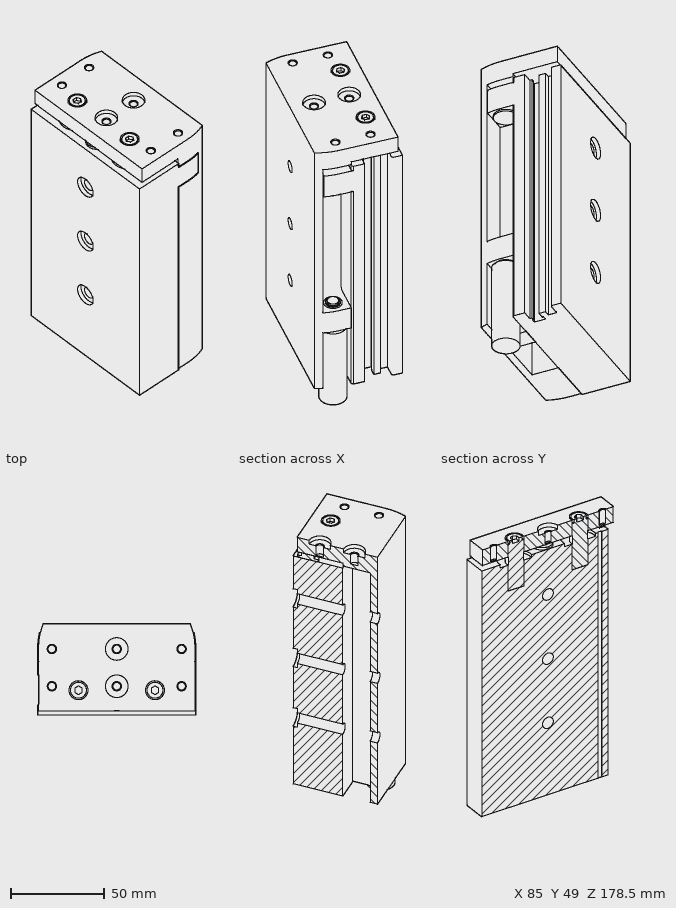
import cadquery as cq
import math


housing_width = 85.0
housing_depth = 29.0
housing_height = 153.3
back_edge_chamfer = 0.9
mounting_lip_round = 1.2
half_housing = housing_width / 2

mounting_lip_end = 6.0
rib_start = 11.0
rib_end = 15.0
sensor_slot_end = 20.2
groove_end = 21.6
rib_inset = 4.0
lower_groove_inset = 7.3
groove_inset = 6.2
slot_mouth_inset = 8.0
slot_floor_inset = 10.4
slot_undercut = 0.7

table_width = 83.9
table_back = 49.0
table_inner_face = 44.8
table_bottom = 0.4
table_top = 166.4
side_arc_radius = 35.0
side_arc_start = 36.2
end_plate_thickness = 10.0
end_plate_front = 2.3
lip_bottom = table_top - 12.0
half_table = table_width / 2
end_plate_bottom = table_top - end_plate_thickness

pocket_wall_x = -25.3
recess_corner_radius = 1.8
channel_half_width = 14.0
carrier_top = 53.5
carrier_bottom = 39.5

stop_top = 150.3
stop_bottom = 135.7
stop_back = 44.3
stop_inner_x = 25.9
stop_pad_diameter = 13.5
stop_pad_height = 1.0

absorber_diameter = 15.4
absorber_x = -34.5
absorber_y = 36.8
absorber_bottom = table_top - 178.5
absorber_chamfer = 1.6
absorber_neck_diameter = 10.0
absorber_collar_diameter = 8.0
absorber_collar_height = 0.5
absorber_tip_diameter = 6.5
absorber_tip_height = 1.6

rod_diameter = 10.2
rod_x = 20.5
rod_y = 13.4
rod_insertion = 17.8
rod_end_diameter = 8.5
rod_end_length = 2.1
rod_recess_diameter = 20.0
rod_recess_depth = 1.8
hex_corner_diameter = 4.6
hex_depth = 2.1

bumper_y = 8.5
bumper_rim_diameter = 12.1
bumper_rim_height = 1.5
bumper_neck_diameter = 7.5

dowel_diameter = 12.1
dowel_depth = 2.5
through_hole_diameter = 6.6
mounting_hole_top = 125.0
mounting_hole_pitch = 40.0
mounting_hole_heights = [mounting_hole_top - i * mounting_hole_pitch for i in range(3)]

thread_diameter = 4.1
thread_countersink = 5.0
thread_x = 34.8
thread_front_y = 15.5
thread_row_pitch = 20.0
thread_depth = 9.0
thread_rows = [thread_front_y, thread_front_y + thread_row_pitch]


def box(x_range, y_range, z_range):
    """Box between the given pairs of limits."""
    size = [high - low for low, high in (x_range, y_range, z_range)]
    corner = (x_range[0], y_range[0], z_range[0])
    return cq.Workplane("XY").box(*size, centered=False).translate(corner)


def cylinder(x, y, z_range, diameter):
    """Upright cylinder between two heights."""
    height = z_range[1] - z_range[0]
    return cq.Workplane("XY", origin=(x, y, z_range[0])).circle(diameter / 2).extrude(height)


def side_arc_inset(y):
    """How far a rounded side has drawn in at depth y, measured from its flat part."""
    return side_arc_radius - math.sqrt(side_arc_radius**2 - (y - side_arc_start) ** 2)


def housing_profile():
    """Cross-section of the housing, with the grooves in its -X side."""
    side = -half_housing
    return (
        cq.Workplane("XY")
        .moveTo(side, 0)
        .lineTo(half_housing, 0)
        .lineTo(half_housing, housing_depth)
        .lineTo(side, housing_depth)
        .lineTo(side, groove_end)
        .lineTo(side + groove_inset, groove_end)
        .lineTo(side + groove_inset, sensor_slot_end)
        .lineTo(side + slot_mouth_inset, sensor_slot_end)
        .lineTo(side + slot_mouth_inset, sensor_slot_end + slot_undercut)
        .lineTo(side + slot_floor_inset, sensor_slot_end + slot_undercut)
        .lineTo(side + slot_floor_inset, rib_end - slot_undercut)
        .lineTo(side + slot_mouth_inset, rib_end - slot_undercut)
        .lineTo(side + slot_mouth_inset, rib_end)
        .lineTo(side + rib_inset, rib_end)
        .lineTo(side + rib_inset, rib_start)
        .lineTo(side + lower_groove_inset, rib_start)
        .lineTo(side + lower_groove_inset, mounting_lip_end)
        .lineTo(side + mounting_lip_round, mounting_lip_end)
        .radiusArc((side, mounting_lip_end - mounting_lip_round), -mounting_lip_round)
        .close()
    )


def stop_block():
    """Block on the -X side of the housing, rounded like the side of the table."""
    side = -half_housing
    middle_y = (side_arc_start + stop_back) / 2
    return (
        cq.Workplane("XY", origin=(0, 0, stop_bottom))
        .moveTo(-stop_inner_x, housing_depth - back_edge_chamfer)
        .lineTo(side, housing_depth - back_edge_chamfer)
        .lineTo(side, side_arc_start)
        .threePointArc(
            (side + side_arc_inset(middle_y), middle_y),
            (side + side_arc_inset(stop_back), stop_back),
        )
        .lineTo(-stop_inner_x, stop_back)
        .close()
        .extrude(stop_top - stop_bottom)
    )


def mounting_bores():
    """Through holes along Y in the middle of the housing and the table."""
    bores = cq.Workplane("XZ")
    for z in mounting_hole_heights:
        bores = bores.moveTo(0, z).circle(through_hole_diameter / 2)
    return bores.extrude(-table_back)


def make_housing():
    body = housing_profile().extrude(housing_height)
    body = body.edges("|Z and >Y and <X").chamfer(back_edge_chamfer)

    block = stop_block()
    pad = cylinder(absorber_x, absorber_y, (stop_bottom - stop_pad_height, stop_bottom), stop_pad_diameter)
    body = body.union(block).union(pad).union(block.mirror("YZ"))

    for x in (-rod_x, rod_x):
        rod_range = (housing_height - rod_insertion, housing_height)
        recess_range = (housing_height - rod_recess_depth, housing_height)
        body = body.cut(cylinder(x, rod_y, rod_range, rod_diameter))
        body = body.cut(cylinder(x, rod_y, recess_range, rod_recess_diameter))

    dowel_recesses = cq.Workplane("XZ")
    for z in mounting_hole_heights:
        dowel_recesses = dowel_recesses.moveTo(0, z).circle(dowel_diameter / 2)
    return body.cut(mounting_bores()).cut(dowel_recesses.extrude(-dowel_depth))


def table_profile():
    """Cross-section of the table: flat sides that curve in towards the back."""
    middle_y = (side_arc_start + table_back) / 2
    middle_x = half_table - side_arc_inset(middle_y)
    back_x = half_table - side_arc_inset(table_back)
    return (
        cq.Workplane("XY", origin=(0, 0, table_bottom))
        .moveTo(-half_table, housing_depth)
        .lineTo(half_table, housing_depth)
        .lineTo(half_table, side_arc_start)
        .threePointArc((middle_x, middle_y), (back_x, table_back))
        .lineTo(-back_x, table_back)
        .threePointArc((-middle_x, middle_y), (-half_table, side_arc_start))
        .close()
    )


def recess(x_range, z_range, rounded_edges):
    """Recess in the front of the table, with the chosen corners rounded."""
    shape = box(x_range, (housing_depth, table_inner_face), z_range)
    return shape.edges(rounded_edges).fillet(recess_corner_radius)


def threaded_hole(x, y, top):
    """Cutter for a blind hole with a countersunk mouth, all ending at one depth in the end plate."""
    countersink = (thread_countersink - thread_diameter) / 2
    hole = cylinder(x, y, (table_top - thread_depth, top), thread_diameter)
    mouth = cq.Solid.makeCone(
        thread_diameter / 2, thread_countersink / 2, countersink, cq.Vector(x, y, top - countersink)
    )
    return hole.union(cq.Workplane(mouth))


def make_table():
    body = table_profile().extrude(table_top - table_bottom)
    body = body.union(
        box((-half_table, half_table), (end_plate_front, housing_depth), (end_plate_bottom, table_top))
    )

    side_range = (-housing_width, pocket_wall_x)
    body = body.cut(recess(side_range, (carrier_top, lip_bottom), "|Y and >X"))
    body = body.cut(recess(side_range, (-carrier_bottom, carrier_bottom), "|Y and >X and >Z"))
    channel_range = (-channel_half_width, channel_half_width)
    body = body.cut(recess(channel_range, (-lip_bottom, lip_bottom), "|Y and >Z"))

    body = body.cut(
        box((stop_inner_x, half_housing), (housing_depth, stop_back), (stop_bottom, stop_top))
    )

    body = body.cut(
        cylinder(absorber_x, absorber_y, (carrier_bottom, carrier_top), absorber_neck_diameter)
    )
    for x in (-rod_x, rod_x):
        body = body.cut(cylinder(x, rod_y, (end_plate_bottom, table_top), rod_diameter))

    for y in thread_rows:
        for x in (-thread_x, thread_x):
            body = body.cut(threaded_hole(x, y, table_top))
        dowel_floor = table_top - dowel_depth
        body = body.cut(cylinder(0, y, (dowel_floor, table_top), dowel_diameter))
        body = body.cut(threaded_hole(0, y, dowel_floor))
    return body.cut(mounting_bores())


def make_absorber():
    collar_top = carrier_top + absorber_collar_height
    tip_top = carrier_top + absorber_tip_height
    barrel = cylinder(absorber_x, absorber_y, (absorber_bottom, carrier_bottom), absorber_diameter)
    barrel = barrel.faces(">Z").chamfer(absorber_chamfer)
    neck = cylinder(absorber_x, absorber_y, (carrier_bottom, carrier_top), absorber_neck_diameter)
    collar = cylinder(absorber_x, absorber_y, (carrier_top, collar_top), absorber_collar_diameter)
    tip = cylinder(absorber_x, absorber_y, (collar_top, tip_top), absorber_tip_diameter)
    return barrel.union(neck).union(collar).union(tip)


def make_rod(x):
    """Piston rod with a hexagon socket in its thinner end, flush with the end plate."""
    shoulder = table_top - rod_end_length
    rod = cylinder(x, rod_y, (housing_height - rod_insertion, shoulder), rod_diameter)
    rod = rod.union(cylinder(x, rod_y, (shoulder, table_top), rod_end_diameter))
    socket = (
        cq.Workplane("XY", origin=(x, rod_y, table_top - hex_depth))
        .transformed(rotate=(0, 0, 90))
        .polygon(6, hex_corner_diameter)
        .extrude(hex_depth)
    )
    return rod.cut(socket)


def make_bumper():
    rim_top = housing_height + bumper_rim_height
    rim = cylinder(0, bumper_y, (housing_height, rim_top), bumper_rim_diameter)
    neck = cylinder(0, bumper_y, (rim_top, end_plate_bottom), bumper_neck_diameter)
    return rim.union(neck)


housing = make_housing()
table = make_table()
absorber = make_absorber()
rods = [make_rod(x) for x in (-rod_x, rod_x)]
bumper = make_bumper()

result = cq.Compound.makeCompound(
    [housing.val(), table.val(), absorber.val(), *[rod.val() for rod in rods], bumper.val()]
)